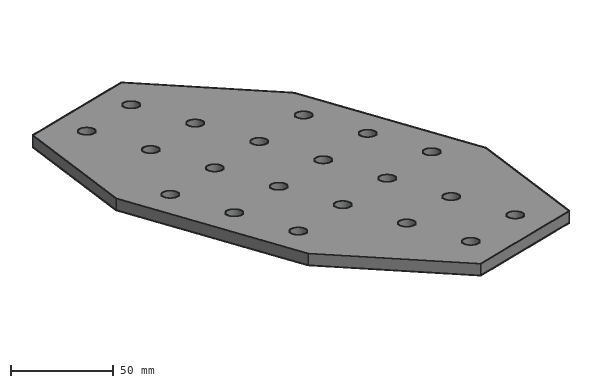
import cadquery as cq

length = 266.7
thickness = 6.5
columns = 7
rows = 4
pitch = length / columns
width = rows * pitch

long_band_rows = 2
wide_band_columns = 3
hole_diameter = 8.8

half_length = length / 2
half_width = width / 2
half_end_edge = long_band_rows * pitch / 2
half_side_edge = wide_band_columns * pitch / 2


def make_plate():
    """Octagonal plate centred on the Z axis, resting on Z = 0."""
    outline = [
        (-half_length, -half_end_edge),
        (-half_side_edge, -half_width),
        (half_side_edge, -half_width),
        (half_length, -half_end_edge),
        (half_length, half_end_edge),
        (half_side_edge, half_width),
        (-half_side_edge, half_width),
        (-half_length, half_end_edge),
    ]
    return cq.Workplane("XY").polyline(outline).close().extrude(thickness)


def make_hole_grid(column_count, row_count):
    """Through-hole cutters on a centred grid."""
    return (
        cq.Workplane("XY")
        .rarray(pitch, pitch, column_count, row_count)
        .circle(hole_diameter / 2)
        .extrude(thickness)
    )


result = (
    make_plate()
    .cut(make_hole_grid(columns, long_band_rows))
    .cut(make_hole_grid(wide_band_columns, rows))
)